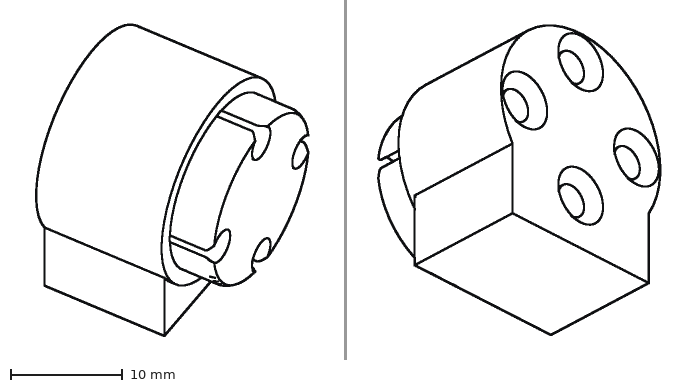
import cadquery as cq
import math

barrel_diameter = 20.0
barrel_length = 13.1
overall_length = 17.5
overall_height = 22.5
foot_length = 12.5
spigot_diameter = 17.1
foot_width = spigot_diameter

rim_arc_radius = 1.0
rim_cone_angle = math.radians(30)
rim_cone_length = 0.25

hole_circle_radius = 7.0
hole_count = 4
hole_diameter = 3.2
countersink_diameter = 5.6
countersink_angle = 90.0

barrel_radius = barrel_diameter / 2
spigot_radius = spigot_diameter / 2
foot_drop = overall_height - barrel_radius


def make_barrel():
    return cq.Workplane("YZ").circle(barrel_radius).extrude(barrel_length)


def make_spigot():
    """Round plug running out of the barrel, its free rim rounded into a cone."""
    cone_start = overall_length - rim_cone_length
    arc_start = cone_start - rim_arc_radius * math.sin(rim_cone_angle)
    arc_end_radius = spigot_radius - rim_arc_radius * (1 - math.cos(rim_cone_angle))
    end_radius = arc_end_radius - rim_cone_length * math.tan(rim_cone_angle)
    return (
        cq.Workplane("XY")
        .lineTo(0, spigot_radius)
        .lineTo(arc_start, spigot_radius)
        .tangentArcPoint((cone_start, arc_end_radius), relative=False)
        .lineTo(overall_length, end_radius)
        .lineTo(overall_length, 0)
        .close()
        .revolve(360, (0, 0, 0), (1, 0, 0))
    )


def make_foot():
    """Rectangular foot hanging below the barrel axis."""
    return cq.Workplane("XY").box(
        foot_length, foot_width, foot_drop, centered=(False, True, False)
    ).translate((0, 0, -foot_drop))


def drill_holes(body):
    """The holes just break through the side of the spigot, leaving narrow slits."""
    return (
        body.faces("<X").workplane(origin=(0, 0, 0))
        .polarArray(hole_circle_radius, 0, 360, hole_count)
        .cskHole(hole_diameter, countersink_diameter, countersink_angle)
    )


result = drill_holes(make_barrel().union(make_spigot()).union(make_foot()))